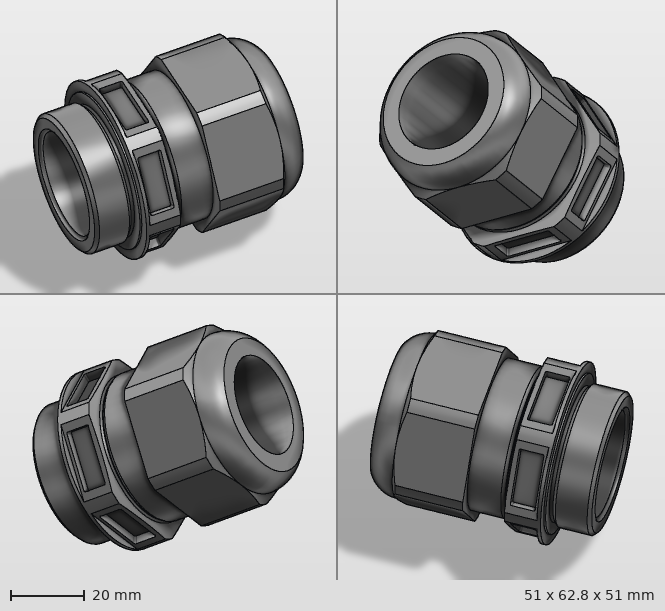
import cadquery as cq
import math

ACROSS_FLATS = 46.0
FLANGE_RADIUS = 25.5
HEX_CORNER_RADIUS = FLANGE_RADIUS
THREAD_RADIUS = 20.1
THREAD_RELIEF_RADIUS = 19.1
COLLAR_RADIUS = 22.5
BODY_RADIUS = 21.3
GROOVE_RADIUS = 20.6
BODY_HEX_CONE_RADIUS = 21.2
DOME_BASE_RADIUS = ACROSS_FLATS / 2
DOME_END_RADIUS = 19.0

THREAD_CHAMFER = THREAD_RADIUS - THREAD_RELIEF_RADIUS
THREAD_END = 10.0
COLLAR_START = 12.0
FLANGE_START = 12.55
BODY_HEX_START = 13.6
BODY_HEX_END = 22.8
BODY_HEX_CONE_END = 23.4
GROOVE_START = 23.95
GROOVE_END = 24.15
BODY_START = 25.1
NUT_START = 34.6
NUT_CORNER_END = 53.8
DOME_START = 55.35
TOTAL_LENGTH = 62.8

ENTRY_BORE_RADIUS = 15.0
MOUTH_ROUND = 1.0
BORE_END_RADIUS = 14.1

POCKET_WIDTH = 17.0
POCKET_LENGTH = 7.0
POCKET_DEPTH = 2.5
POCKET_CORNER_RADIUS = 0.5
POCKET_CENTRE_Y = 18.05
HEX_SIDES = 6


def revolve_profile(profile):
    """Turn a half profile drawn as (radius, Y) about the Y axis."""
    return profile.close().revolve(360, (0, 0, 0), (0, 1, 0))


def hex_prism(start, end):
    """Hexagonal prism along Y with flats facing +Z and -Z."""
    circumscribed_diameter = ACROSS_FLATS / math.cos(math.pi / HEX_SIDES)
    return (
        cq.Workplane("XZ", origin=(0, start, 0))
        .polygon(HEX_SIDES, circumscribed_diameter)
        .extrude(start - end)
    )


def coned_hex(start, corner_end, cone_radius, cone_end):
    """Hexagon with rounded corners, its +Y face coned from the corners in to cone_radius."""
    envelope = revolve_profile(
        cq.Workplane("XY")
        .moveTo(0, start)
        .lineTo(HEX_CORNER_RADIUS, start)
        .lineTo(HEX_CORNER_RADIUS, corner_end)
        .lineTo(cone_radius, cone_end)
        .lineTo(0, cone_end)
    )
    return hex_prism(start, cone_end).intersect(envelope)


def turned_body():
    """Entry thread, relief, collar, flange, groove and barrel of the body."""
    return revolve_profile(
        cq.Workplane("XY")
        .moveTo(0, 0)
        .lineTo(THREAD_RELIEF_RADIUS, 0)
        .lineTo(THREAD_RADIUS, THREAD_CHAMFER)
        .lineTo(THREAD_RADIUS, THREAD_END)
        .lineTo(THREAD_RELIEF_RADIUS, THREAD_END + THREAD_CHAMFER)
        .lineTo(THREAD_RELIEF_RADIUS, COLLAR_START)
        .lineTo(COLLAR_RADIUS, COLLAR_START)
        .lineTo(COLLAR_RADIUS, FLANGE_START)
        .lineTo(FLANGE_RADIUS, FLANGE_START)
        .lineTo(FLANGE_RADIUS, BODY_HEX_START)
        .lineTo(BODY_HEX_CONE_RADIUS, BODY_HEX_START)
        .lineTo(BODY_HEX_CONE_RADIUS, BODY_HEX_CONE_END)
        .lineTo(GROOVE_RADIUS, GROOVE_START)
        .lineTo(GROOVE_RADIUS, GROOVE_END)
        .lineTo(BODY_RADIUS, BODY_START)
        .lineTo(BODY_RADIUS, NUT_START)
        .lineTo(0, NUT_START)
    )


def grip_pockets():
    """One shallow rounded rectangular pocket per flat of the body hexagon."""
    pocket = (
        cq.Workplane("XY", origin=(0, POCKET_CENTRE_Y, ACROSS_FLATS / 2))
        .rect(POCKET_WIDTH, POCKET_LENGTH)
        .extrude(-POCKET_DEPTH)
        .edges("|Z")
        .fillet(POCKET_CORNER_RADIUS)
    )
    pockets = pocket
    for side in range(1, HEX_SIDES):
        turn = side * 360 / HEX_SIDES
        pockets = pockets.union(pocket.rotate((0, 0, 0), (0, 1, 0), turn))
    return pockets


def nut_dome():
    """Rounded end of the cap nut; its arc leaves the base parallel to the axis."""
    rise = TOTAL_LENGTH - DOME_START
    narrowing = DOME_BASE_RADIUS - DOME_END_RADIUS
    arc_radius = (rise**2 + narrowing**2) / (2 * narrowing)
    return revolve_profile(
        cq.Workplane("XY")
        .moveTo(0, DOME_START)
        .lineTo(DOME_BASE_RADIUS, DOME_START)
        .radiusArc((DOME_END_RADIUS, TOTAL_LENGTH), -arc_radius)
        .lineTo(0, TOTAL_LENGTH)
    )


def cable_bore():
    """Through bore, rounded at the entry mouth and tapering gently to the dome end."""
    return revolve_profile(
        cq.Workplane("XY")
        .moveTo(0, 0)
        .lineTo(ENTRY_BORE_RADIUS + MOUTH_ROUND, 0)
        .radiusArc((ENTRY_BORE_RADIUS, MOUTH_ROUND), -MOUTH_ROUND)
        .lineTo(BORE_END_RADIUS, TOTAL_LENGTH)
        .lineTo(0, TOTAL_LENGTH)
    )


body_hex = coned_hex(BODY_HEX_START, BODY_HEX_END, BODY_HEX_CONE_RADIUS, BODY_HEX_CONE_END)
body = turned_body().union(body_hex).cut(grip_pockets())

nut_hex = coned_hex(NUT_START, NUT_CORNER_END, DOME_BASE_RADIUS, DOME_START)
nut = nut_hex.union(nut_dome())

result = body.union(nut).cut(cable_bore())